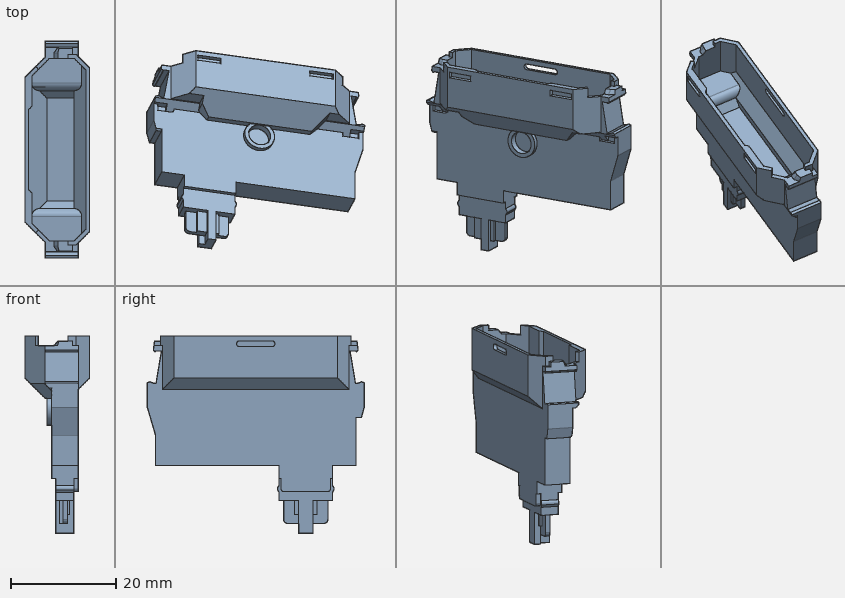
import cadquery as cq
import math


CUP_DEPTH = 12.3
CUP_TOP = 37.5
CUP_HALF_LENGTH = 18.1
FRONT_WALL_HALF = 13.7
BACK_WALL_HALF = 15.55
CUP_FLARE_Z = 29.5
CUP_BOTTOM_Z = 25.63
HOPPER_HALF = 10.15
HOPPER_END_Y = 11.85

CAVITY_FRONT_X = 1.35
CAVITY_BACK_X = 11.58
CAVITY_HALF_LENGTH = 17.35
CAVITY_FRONT_HALF = 14.0
CAVITY_BACK_HALF = 15.1
RECESS_X = 0.75
RECESS_HALF = 7.62
SHELF_Z = 28.92
SHELF_HALF = 12.65
SHELF_ROUND = 1.5
FLOOR_Z = 26.05
FLOOR_FRONT_X = 4.2
FLOOR_BACK_X = 9.3
SLOPE_BACK_Z = 27.45

BODY_FRONT_X = 5.1
BODY_BACK_X = 10.18
END_FRONT_X = 3.87
BODY_BOTTOM_Z = 12.85
BODY_HALF = 19.05
SHOULDER_HALF = 20.6
LEDGE_Z = 28.45
RIDGE_Z = 28.8
RIDGE_EDGE_Z = 28.6
RIDGE_Y = 20.1
RIDGE_HOLLOW = (19.6, 28.6)
TAPER_TOP_Z = 23.95
TAPER_END_Z = 18.62
STEP_Y = 20.05
STEP_Z = 21.95
STEP_CHAMFER = 0.35
EAVE_LIP_Z = 28.3
EAVE_Z = 27.65
POCKET_Y = (16.6, 19.8)
POCKET_BOTTOM_Z = 26.3
POCKET_ROUND = 0.75

CLIP_TOP_Z = 35.65
TAB_TOP_Z = 36.5
TAB_FOOT_X = 5.52
TAB_FOOT_NOSE_X = 6.25
TAB_TOP_X = 6.25
TAB_TOP_NOSE_X = 6.55
TAB_BACK_X = 9.05
TAB_TURN_Y = 18.35
CLIP_TOP_Y = 19.25
CLIP_NOSE_Y = 19.45
CLIP_NOSE_Z = 34.8
CLIP_HOOK_Y = 18.95
CLIP_LIP_Y = 19.1
CLIP_LIP_Z = 34.45
CLIP_ROOT_Y = 17.92
CLIP_ROOT_Z = 34.6
CLIP_FOOT_Y = 18.95

RIM_POST_X = 8.2
RIM_CUT_X = 2.05

SLOT_Z = (35.45, 36.55)
FRONT_SLOT_Y = (8.75, 13.35)
FRONT_SLOT_DEPTH = 0.9
BACK_SLOT_HALF = 3.63

RING_Z = 23.45
RING_FRONT_X = 4.2
RING_RADIUS = 2.93
RING_HOLE_RADIUS = 2.15
RING_HOLE_DEPTH = 1.5

NECK_Y = (4.4, 14.6)
NECK_X = (5.85, 9.3)
NECK_STEP_Z = 10.4
NECK_BOTTOM_Z = 6.22
BEAD_Z = (7.8, 9.05)
BEAD_HEIGHT = 0.3
BEAD_CREST_Z = 8.3
BEAD_BULGE = 0.2
BEAD_BULGE_Z = 8.8
BACK_PLATE_BOTTOM_Z = 7.9
BACK_PLATE_INSET = 0.4
BACK_PLATE_ROUND = 0.55

PLUG_Y = (5.27, 13.7)
PLUG_X = (7.2, 8.08)
PLUG_BOTTOM_Z = 1.85
PLUG_ROUND = 0.82
PAD_Y = (7.37, 11.6)
PAD_FRONT_X = 6.6
PAD_BACK_X = 8.5
PAD_BACK_BOTTOM_Z = 3.63
BLADE_Y = (8.1, 9.72)
BLADE_HOOK_Y = 10.88


def box(x_range, y_range, z_range):
    """Axis-aligned box from the limits along X, Y and Z."""
    sizes = [high - low for low, high in (x_range, y_range, z_range)]
    return cq.Workplane("XY").box(*sizes, centered=False).translate(
        (x_range[0], y_range[0], z_range[0])
    )


def prism_x(points, x_range):
    """Extrude a closed (y, z) outline along X."""
    length = x_range[1] - x_range[0]
    return cq.Workplane("YZ", origin=(x_range[0], 0, 0)).polyline(points).close().extrude(length)


def prism_y(points, half_length):
    """Extrude a closed (x, z) outline along Y, symmetric about Y = 0."""
    return cq.Workplane("XZ").polyline(points).close().extrude(half_length, both=True)


def prism_z(points, z_range):
    """Extrude a closed (x, y) outline along Z."""
    height = z_range[1] - z_range[0]
    return cq.Workplane("XY", origin=(0, 0, z_range[0])).polyline(points).close().extrude(height)


def both_ends(shape):
    """Add the mirror image at the other Y end."""
    return shape.union(shape.mirror("XZ"))


def cup_outside():
    front_run = CUP_HALF_LENGTH - FRONT_WALL_HALF
    back_run = CUP_HALF_LENGTH - BACK_WALL_HALF
    half_plan = [
        (0, FRONT_WALL_HALF),
        (front_run, CUP_HALF_LENGTH),
        (CUP_DEPTH - back_run, CUP_HALF_LENGTH),
        (CUP_DEPTH, BACK_WALL_HALF),
    ]
    plan = half_plan + [(x, -y) for x, y in reversed(half_plan)]
    section = [
        (0, CUP_TOP),
        (0, CUP_FLARE_Z),
        (CUP_FLARE_Z - CUP_BOTTOM_Z, CUP_BOTTOM_Z),
        (BODY_BACK_X, CUP_BOTTOM_Z),
        (BODY_BACK_X, CUP_FLARE_Z - (CUP_DEPTH - BODY_BACK_X)),
        (CUP_DEPTH, CUP_FLARE_Z),
        (CUP_DEPTH, CUP_TOP),
    ]
    hopper_slope_half = HOPPER_HALF + LEDGE_Z - CUP_BOTTOM_Z
    side = [
        (HOPPER_HALF, CUP_BOTTOM_Z),
        (HOPPER_END_Y, CUP_BOTTOM_Z + HOPPER_END_Y - HOPPER_HALF),
        (HOPPER_END_Y, LEDGE_Z),
        (CLIP_ROOT_Y, LEDGE_Z),
        (CLIP_ROOT_Y, CLIP_ROOT_Z),
        (CUP_HALF_LENGTH, CLIP_ROOT_Z),
        (CUP_HALF_LENGTH, CUP_TOP),
        (-CUP_HALF_LENGTH, CUP_TOP),
        (-CUP_HALF_LENGTH, CLIP_ROOT_Z),
        (-CLIP_ROOT_Y, CLIP_ROOT_Z),
        (-CLIP_ROOT_Y, LEDGE_Z),
        (-hopper_slope_half, LEDGE_Z),
        (-HOPPER_HALF, CUP_BOTTOM_Z),
    ]
    behind_body = box(
        (BODY_BACK_X, CUP_DEPTH), (-CUP_HALF_LENGTH, CUP_HALF_LENGTH), (CUP_BOTTOM_Z, CUP_TOP)
    )
    return (
        prism_z(plan, (CUP_BOTTOM_Z, CUP_TOP))
        .intersect(prism_y(section, CUP_HALF_LENGTH))
        .intersect(prism_x(side, (0, BODY_BACK_X)).union(behind_body))
    )


def cavity():
    front_run = CAVITY_HALF_LENGTH - CAVITY_FRONT_HALF
    back_run = CAVITY_HALF_LENGTH - CAVITY_BACK_HALF
    half_plan = [
        (RECESS_X, RECESS_HALF),
        (CAVITY_FRONT_X, RECESS_HALF + CAVITY_FRONT_X - RECESS_X),
        (CAVITY_FRONT_X, CAVITY_FRONT_HALF),
        (CAVITY_FRONT_X + front_run, CAVITY_HALF_LENGTH),
        (CAVITY_BACK_X - back_run, CAVITY_HALF_LENGTH),
        (CAVITY_BACK_X, CAVITY_BACK_HALF),
    ]
    plan = half_plan + [(x, -y) for x, y in reversed(half_plan)]
    section = [
        (RECESS_X, CUP_TOP),
        (RECESS_X, FLOOR_Z + FLOOR_FRONT_X - RECESS_X),
        (FLOOR_FRONT_X, FLOOR_Z),
        (FLOOR_BACK_X, FLOOR_Z),
        (FLOOR_BACK_X, SLOPE_BACK_Z),
        (CAVITY_BACK_X, SLOPE_BACK_Z + CAVITY_BACK_X - FLOOR_BACK_X),
        (CAVITY_BACK_X, CUP_TOP),
    ]
    round_y = SHELF_HALF - SHELF_ROUND
    round_z = SHELF_Z - SHELF_ROUND
    floor_half = round_y - (round_z - FLOOR_Z)
    arc_y = SHELF_HALF - SHELF_ROUND * math.sqrt(0.5)
    arc_z = round_z + SHELF_ROUND * math.sqrt(0.5)
    side = (
        cq.Workplane("YZ")
        .moveTo(-floor_half, FLOOR_Z)
        .lineTo(floor_half, FLOOR_Z)
        .lineTo(round_y, round_z)
        .threePointArc((arc_y, arc_z), (SHELF_HALF, SHELF_Z))
        .lineTo(CAVITY_HALF_LENGTH, SHELF_Z)
        .lineTo(CAVITY_HALF_LENGTH, CUP_TOP)
        .lineTo(-CAVITY_HALF_LENGTH, CUP_TOP)
        .lineTo(-CAVITY_HALF_LENGTH, SHELF_Z)
        .lineTo(-SHELF_HALF, SHELF_Z)
        .threePointArc((-arc_y, arc_z), (-round_y, round_z))
        .close()
        .extrude(CUP_DEPTH)
    )
    return (
        prism_z(plan, (FLOOR_Z, CUP_TOP))
        .intersect(prism_y(section, CUP_HALF_LENGTH))
        .intersect(side)
    )


def body():
    outline = [
        (BODY_HALF, BODY_BOTTOM_Z),
        (BODY_HALF, STEP_Z),
        (STEP_Y, STEP_Z),
        (SHOULDER_HALF, TAPER_TOP_Z),
        (SHOULDER_HALF, LEDGE_Z),
        (-SHOULDER_HALF, LEDGE_Z),
        (-SHOULDER_HALF, TAPER_TOP_Z),
        (-BODY_HALF, TAPER_END_Z),
        (-BODY_HALF, BODY_BOTTOM_Z),
    ]
    block = prism_x(outline, (END_FRONT_X, BODY_BACK_X))
    block = block.cut(
        box((END_FRONT_X, BODY_FRONT_X), (-SHOULDER_HALF, SHOULDER_HALF), (BODY_BOTTOM_Z, LEDGE_Z))
    )
    block = block.edges(
        cq.selectors.NearestToPointSelector((BODY_FRONT_X, (BODY_HALF + STEP_Y) / 2, STEP_Z))
    ).chamfer(STEP_CHAMFER)
    return block.cut(end_pockets()).union(eave()).union(both_ends(ridge()))


def ridge():
    """Low ridge on top of the shoulder, hollowed towards the clip."""
    return (
        cq.Workplane("YZ", origin=(END_FRONT_X, 0, 0))
        .moveTo(CLIP_FOOT_Y, LEDGE_Z)
        .threePointArc(RIDGE_HOLLOW, (RIDGE_Y, RIDGE_Z))
        .lineTo(SHOULDER_HALF, RIDGE_EDGE_Z)
        .lineTo(SHOULDER_HALF, LEDGE_Z)
        .close()
        .extrude(BODY_BACK_X - END_FRONT_X)
    )


def end_pockets():
    """Shallow pockets in the front face below the eave; the one at +Y has a rounded lower corner."""
    pocket_x = (BODY_FRONT_X, eave_x(POCKET_BOTTOM_Z))
    pockets = both_ends(box(pocket_x, POCKET_Y, (POCKET_BOTTOM_Z, EAVE_Z)))
    return pockets.edges(
        cq.selectors.NearestToPointSelector((pocket_x[0], POCKET_Y[0], POCKET_BOTTOM_Z))
    ).fillet(POCKET_ROUND)


def eave_x(z):
    """X of the sloping underside of the eave at a given height."""
    return END_FRONT_X + EAVE_LIP_Z - z


def eave():
    """Overhang of the shoulder: a 45 degree underside, cut off flat outside the cup ends."""
    deep = [
        (END_FRONT_X, LEDGE_Z),
        (END_FRONT_X, EAVE_LIP_Z),
        (eave_x(POCKET_BOTTOM_Z), POCKET_BOTTOM_Z),
        (eave_x(POCKET_BOTTOM_Z), LEDGE_Z),
    ]
    shallow = [
        (END_FRONT_X, LEDGE_Z),
        (END_FRONT_X, EAVE_LIP_Z),
        (eave_x(EAVE_Z), EAVE_Z),
        (BODY_FRONT_X, EAVE_Z),
        (BODY_FRONT_X, LEDGE_Z),
    ]
    ends = prism_y(shallow, SHOULDER_HALF).cut(prism_y(shallow, CUP_HALF_LENGTH))
    return prism_y(deep, CUP_HALF_LENGTH).union(ends)


def end_clip():
    profile = [
        (CAVITY_HALF_LENGTH, LEDGE_Z),
        (CLIP_FOOT_Y, LEDGE_Z),
        (CLIP_ROOT_Y, CLIP_ROOT_Z),
        (CLIP_HOOK_Y, CLIP_ROOT_Z),
        (CLIP_LIP_Y, CLIP_LIP_Z),
        (CLIP_NOSE_Y, CLIP_NOSE_Z),
        (CLIP_TOP_Y, TAB_TOP_Z),
        (CAVITY_HALF_LENGTH, TAB_TOP_Z),
    ]
    clip = prism_x(profile, (END_FRONT_X, BODY_BACK_X))
    above = box(
        (END_FRONT_X, BODY_BACK_X), (CAVITY_HALF_LENGTH, SHOULDER_HALF), (CLIP_TOP_Z, TAB_TOP_Z)
    )
    return clip.cut(above.cut(tab()))


def tab():
    """Raised tab on the clip; its front flank leans back and swings inwards near the nose."""

    def plan(front_x, nose_x):
        return [
            (front_x, CAVITY_HALF_LENGTH),
            (front_x, TAB_TURN_Y),
            (nose_x, CLIP_NOSE_Y),
            (TAB_BACK_X, CLIP_NOSE_Y),
            (TAB_BACK_X, CAVITY_HALF_LENGTH),
        ]

    return (
        cq.Workplane("XY", origin=(0, 0, CLIP_TOP_Z))
        .polyline(plan(TAB_FOOT_X, TAB_FOOT_NOSE_X))
        .close()
        .workplane(offset=TAB_TOP_Z - CLIP_TOP_Z)
        .polyline(plan(TAB_TOP_X, TAB_TOP_NOSE_X))
        .close()
        .loft(ruled=True)
    )


def rim_opening():
    """Gap in the rim at one end, from the front corner wall to the post at the back."""
    cut_y = FRONT_WALL_HALF + RIM_CUT_X
    across = CUP_HALF_LENGTH - CAVITY_HALF_LENGTH
    return prism_z(
        [
            (RIM_CUT_X, cut_y),
            (RIM_CUT_X + across, cut_y - across),
            (RIM_POST_X, cut_y - across),
            (RIM_POST_X, SHOULDER_HALF),
            (RIM_CUT_X, SHOULDER_HALF),
        ],
        (CLIP_TOP_Z, CUP_TOP),
    )


def slots():
    front = both_ends(box((0, FRONT_SLOT_DEPTH), FRONT_SLOT_Y, SLOT_Z))
    height = SLOT_Z[1] - SLOT_Z[0]
    back = (
        cq.Workplane("YZ", origin=(CAVITY_BACK_X, 0, sum(SLOT_Z) / 2))
        .slot2D(2 * BACK_SLOT_HALF, height)
        .extrude(CUP_DEPTH - CAVITY_BACK_X)
    )
    return front.union(back)


def disc(radius, x_range):
    """Round bar along X, centred on the ring."""
    return (
        cq.Workplane("YZ", origin=(x_range[0], 0, RING_Z)).circle(radius).extrude(x_range[1] - x_range[0])
    )


def bead_bar(face_y):
    """Snap bead on a neck side: rounded above, flat slope below."""
    crest_y = face_y + BEAD_HEIGHT
    return (
        cq.Workplane("YZ", origin=(NECK_X[0], 0, 0))
        .moveTo(face_y, BEAD_Z[0])
        .lineTo(crest_y, BEAD_CREST_Z)
        .threePointArc((face_y + BEAD_BULGE, BEAD_BULGE_Z), (face_y, BEAD_Z[1]))
        .close()
        .extrude(NECK_X[1] - NECK_X[0])
    )


def neck():
    stem = box((BODY_FRONT_X, BODY_BACK_X), NECK_Y, (NECK_STEP_Z, BODY_BOTTOM_Z))
    lower = box(NECK_X, NECK_Y, (NECK_BOTTOM_Z, NECK_STEP_Z))
    middle_y = sum(NECK_Y) / 2
    bead = bead_bar(NECK_Y[1])
    bead = bead.union(bead.mirror("XZ", (0, middle_y, 0)))
    plate_y = (NECK_Y[0] + BACK_PLATE_INSET, NECK_Y[1] - BACK_PLATE_INSET)
    plate = box((NECK_X[1], BODY_BACK_X), plate_y, (BACK_PLATE_BOTTOM_Z, NECK_STEP_Z))
    plate = plate.edges("|X and <Z").fillet(BACK_PLATE_ROUND)
    return stem.union(lower).union(bead).union(plate)


def plug():
    web = box(PLUG_X, PLUG_Y, (PLUG_BOTTOM_Z, NECK_BOTTOM_Z)).edges("|X and <Z").fillet(PLUG_ROUND)
    front_pad = box((PAD_FRONT_X, PLUG_X[0]), PAD_Y, (PLUG_BOTTOM_Z, NECK_BOTTOM_Z))
    back_pad = box((PLUG_X[1], PAD_BACK_X), PAD_Y, (PAD_BACK_BOTTOM_Z, NECK_BOTTOM_Z))
    blade = box(NECK_X, BLADE_Y, (0, NECK_BOTTOM_Z))
    hook = box((PLUG_X[1], NECK_X[1]), (BLADE_Y[1], BLADE_HOOK_Y), (0, NECK_BOTTOM_Z))
    return web.union(front_pad).union(back_pad).union(blade).union(hook)


shell = cup_outside().cut(both_ends(rim_opening()))
shell = shell.union(body()).union(both_ends(end_clip()))
shell = shell.union(disc(RING_RADIUS, (RING_FRONT_X, BODY_FRONT_X)))
shell = shell.cut(cavity()).cut(slots())
shell = shell.cut(disc(RING_HOLE_RADIUS, (RING_FRONT_X, RING_FRONT_X + RING_HOLE_DEPTH)))
result = shell.union(neck()).union(plug())